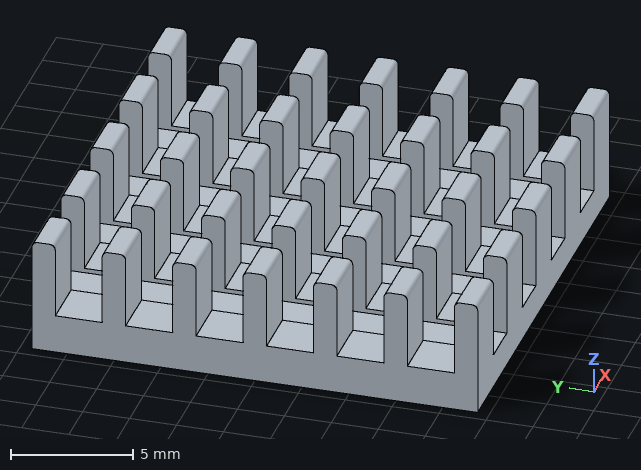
import cadquery as cq

SIDE = 19.0
HEIGHT = 5.0

ROW_COUNT = 7
ROW_THICKNESS = 1.0
ROW_PITCH = (SIDE - ROW_THICKNESS) / (ROW_COUNT - 1)
ROW_FLOOR = 1.7
TOP_RADIUS = 0.25

CHANNEL_COUNT = 4
CHANNEL_WIDTH = 1.9
CHANNEL_FLOOR = 1.5
PIN_WIDTH = (SIDE - CHANNEL_COUNT * CHANNEL_WIDTH) / (CHANNEL_COUNT + 1)
CHANNEL_PITCH = PIN_WIDTH + CHANNEL_WIDTH


def centred_positions(count, pitch):
    """Evenly spaced positions, symmetric about zero."""
    return [(i - (count - 1) / 2) * pitch for i in range(count)]


def base_plate():
    return cq.Workplane("XY").box(SIDE, SIDE, ROW_FLOOR, centered=(True, True, False))


def fin_row(y):
    """Full-length wall from the underside up, with its two long top edges rounded."""
    wall = cq.Workplane("XY").box(SIDE, ROW_THICKNESS, HEIGHT, centered=(True, True, False))
    return wall.faces(">Z").edges("|X").fillet(TOP_RADIUS).translate((0, y, 0))


def cross_channel(x):
    """Cutting block that splits every fin row into separate pins."""
    depth = HEIGHT - CHANNEL_FLOOR
    block = cq.Workplane("XY").box(CHANNEL_WIDTH, SIDE, depth, centered=(True, True, False))
    return block.translate((x, 0, CHANNEL_FLOOR))


heat_sink = base_plate()
for row_y in centred_positions(ROW_COUNT, ROW_PITCH):
    heat_sink = heat_sink.union(fin_row(row_y))
for channel_x in centred_positions(CHANNEL_COUNT, CHANNEL_PITCH):
    heat_sink = heat_sink.cut(cross_channel(channel_x))

result = heat_sink